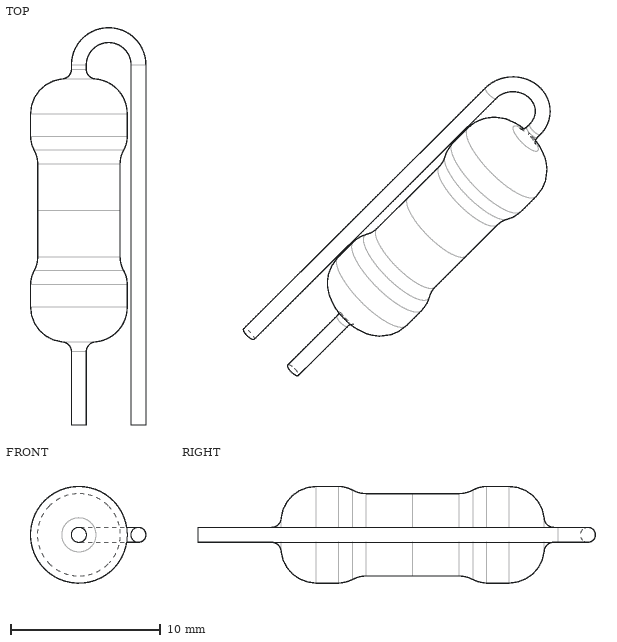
import cadquery as cq

lead_diameter = 1.0
lead_spacing = 4.0
overall_length = 26.6

body_center_y = 14.36
cap_diameter = 6.5
neck_diameter = 5.53
half_neck = 3.1
half_shoulder = 4.95
half_cap = 6.46
half_body = 8.8
flare_radius = 0.65

lead_radius = lead_diameter / 2
cap_radius = cap_diameter / 2
neck_radius = neck_diameter / 2
bend_radius = lead_spacing / 2
bend_start_y = overall_length - bend_radius - lead_radius


def half_body_solid():
    """Half of the body, from its middle plane towards +Y, including the lead flare."""
    flare_end = half_body + flare_radius
    shoulder_mid = ((neck_radius + cap_radius) / 2, (half_neck + half_shoulder) / 2)
    profile = (
        cq.Workplane("XY")
        .lineTo(neck_radius, 0)
        .lineTo(neck_radius, half_neck)
        .tangentArcPoint(shoulder_mid, relative=False)
        .tangentArcPoint((cap_radius, half_shoulder), relative=False)
        .lineTo(cap_radius, half_cap)
        .tangentArcPoint((lead_radius + flare_radius, half_body), relative=False)
        .radiusArc((lead_radius, flare_end), flare_radius)
        .lineTo(0, flare_end)
        .close()
    )
    return profile.revolve(360, (0, 0), (0, 1))


def resistor_body():
    half = half_body_solid()
    return half.union(half.mirror("XZ")).translate((0, body_center_y, 0))


def straight_lead():
    return cq.Workplane("XZ").circle(lead_radius).extrude(-body_center_y)


def folded_lead():
    path = (
        cq.Workplane("XY")
        .moveTo(lead_spacing, 0)
        .lineTo(lead_spacing, bend_start_y)
        .threePointArc((bend_radius, bend_start_y + bend_radius), (0, bend_start_y))
        .lineTo(0, body_center_y)
    )
    return cq.Workplane("XZ").center(lead_spacing, 0).circle(lead_radius).sweep(path)


result = resistor_body().union(straight_lead()).union(folded_lead())